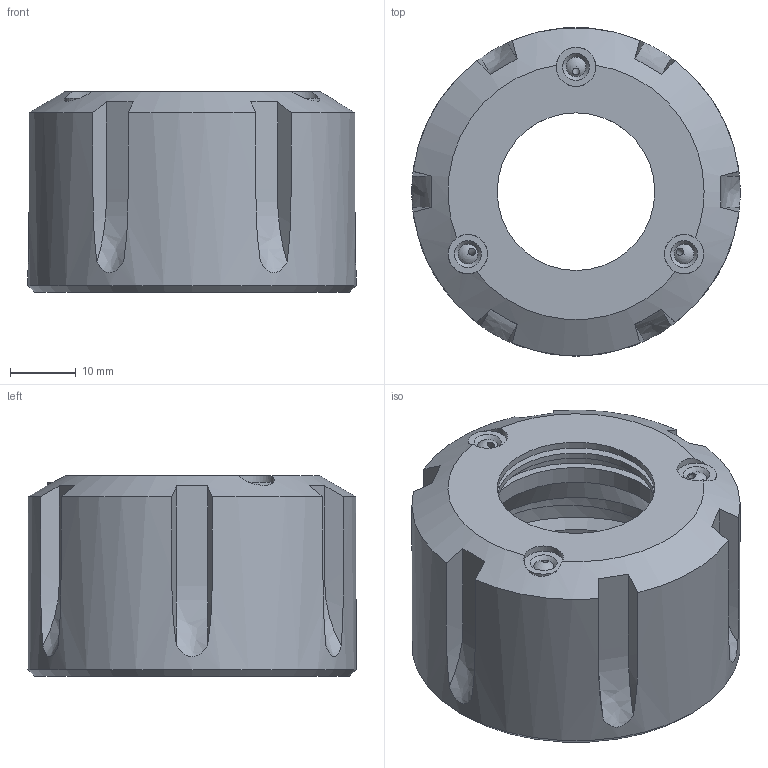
import cadquery as cq
import math

height = 30.5
outer_radius = 25.0
top_face_radius = 19.5
top_chamfer_angle = 30.0
bottom_chamfer = 1.0

bore_radius = 12.0
seal_groove_radius = 15.0
upper_groove_start = 1.05
upper_groove_end = 2.0
lower_groove_start = 2.95
lower_groove_end = 6.0
collet_radius = 13.8
collet_cone_start = 8.7
collet_cone_angle = 30.0
ring_radius = 16.6
relief_radius = 20.5
relief_end = 19.95
thread_radius = 19.2
thread_start = 21.4

undercut_depth = 15.0
undercut_angle = 60.0
undercut_offset = 1.47
undercut_direction = 135.0
undercut_top_radius = 14.4

slot_count = 6
slot_floor_radius = 22.0
slot_half_width = 2.36
slot_flare_angle = 15.0
slot_runout_radius = 20.0
slot_bottom_height = 3.0
slot_end_sag = 0.9
slot_tool_depth = 3.5
slot_flat_sag = 0.001
slot_sag_growth = 1.3
slot_overrun = 0.5
slot_straight_steps = 8
slot_runout_steps = 6

plug_angles = (90.0, 210.0, 330.0)
plug_circle_radius = 19.0
plug_radius = 3.0
plug_recess = 1.0
plug_thickness = 3.0
plug_mouth_radius = 2.05
plug_dome_radius = 1.5
plug_dome_depth = 0.6
nozzle_diameter = 1.1
nozzle_tilt = 20.0


def tan_deg(angle):
    return math.tan(math.radians(angle))


def ring_body():
    """Revolved nut with its chamfers and stepped bore, bottom face on Z = 0."""
    chamfer_drop = (outer_radius - top_face_radius) * tan_deg(top_chamfer_angle)
    cone_end = collet_cone_start + (ring_radius - collet_radius) / tan_deg(collet_cone_angle)
    relief_start = undercut_depth + (relief_radius - ring_radius) / tan_deg(undercut_angle)
    radius_and_depth = [
        (bore_radius, 0),
        (bore_radius, upper_groove_start),
        (seal_groove_radius, upper_groove_start),
        (seal_groove_radius, upper_groove_end),
        (bore_radius, upper_groove_end),
        (bore_radius, lower_groove_start),
        (seal_groove_radius, lower_groove_start),
        (seal_groove_radius, lower_groove_end),
        (collet_radius, lower_groove_end),
        (collet_radius, collet_cone_start),
        (ring_radius, cone_end),
        (ring_radius, relief_start),
        (relief_radius, relief_start),
        (relief_radius, relief_end),
        (thread_radius, thread_start),
        (thread_radius, height),
        (outer_radius - bottom_chamfer, height),
        (outer_radius, height - bottom_chamfer),
        (outer_radius, chamfer_drop),
        (top_face_radius, 0),
    ]
    outline = [(radius, height - depth) for radius, depth in radius_and_depth]
    return cq.Workplane("XZ").polyline(outline).close().revolve(360, (0, 0), (0, 1))


def eccentric_undercut():
    """Off-centre cone under the collet ring, kept inside the thread relief."""
    slope = tan_deg(undercut_angle)
    top_depth = undercut_depth - (ring_radius - undercut_top_radius) / slope
    bottom_depth = undercut_depth + (relief_radius - ring_radius) / slope
    direction = math.radians(undercut_direction)
    base_center = cq.Vector(
        undercut_offset * math.cos(direction),
        undercut_offset * math.sin(direction),
        height - bottom_depth,
    )
    cone = cq.Solid.makeCone(relief_radius, undercut_top_radius, bottom_depth - top_depth, base_center)
    limit = cq.Workplane().circle(relief_radius).extrude(height)
    return limit.intersect(cq.Workplane(cone))


def slot_section(travel, runout_start, runout_length):
    """Trapezoid across the slot, at a travel down its floor from the start of the runout.

    Above the start the floor is straight and practically flat. Along the runout it curves outwards and
    its edges rise above its centre by a growing sag.
    """
    angle = max(0, travel) / slot_runout_radius
    sag = max(slot_flat_sag, slot_end_sag * (max(0, travel) / runout_length) ** slot_sag_growth)
    floor_x = slot_floor_radius + slot_runout_radius * (1 - math.cos(angle))
    floor_z = runout_start - min(0, travel) - slot_runout_radius * math.sin(angle)
    plane = cq.Plane(
        origin=(floor_x, 0, floor_z),
        xDir=(0, -1, 0),
        normal=(-math.sin(angle), 0, math.cos(angle)),
    )
    half_top = slot_half_width + (slot_tool_depth - sag) * tan_deg(slot_flare_angle)
    return (
        cq.Workplane(plane)
        .moveTo(-slot_half_width, sag)
        .threePointArc((0, 0), (slot_half_width, sag))
        .lineTo(half_top, slot_tool_depth)
        .lineTo(-half_top, slot_tool_depth)
        .close()
        .val()
    )


def slot_cutter():
    """Flared slot on the +X side: straight from the top, then curving out through the wall."""
    depth = outer_radius - slot_floor_radius
    exit_angle = math.acos(1 - depth / slot_runout_radius)
    runout_start = slot_bottom_height + slot_runout_radius * math.sin(exit_angle)
    runout_length = slot_runout_radius * exit_angle + slot_overrun
    straight_length = height - runout_start
    sections = []
    for step in range(slot_straight_steps):
        travel = straight_length * (step / slot_straight_steps - 1)
        sections.append(slot_section(travel, runout_start, runout_length))
    for step in range(slot_runout_steps + 1):
        travel = runout_length * step / slot_runout_steps
        sections.append(slot_section(travel, runout_start, runout_length))
    return cq.Workplane(cq.Solid.makeLoft(sections))


def pocket_cutter():
    """Round pocket on the +X side, deeper than its plug by the recess of the plug."""
    depth = plug_recess + plug_thickness
    return cq.Workplane("XY", origin=(plug_circle_radius, 0, height)).circle(plug_radius).extrude(-depth)


def nozzle_plug():
    """Plug on the +X side: a conical mouth around a dome, drilled at a tilt towards the nut axis."""
    top = height - plug_recess
    dome_sphere_radius = (plug_dome_radius**2 + plug_dome_depth**2) / (2 * plug_dome_depth)
    plug = (
        cq.Workplane("XZ", origin=(plug_circle_radius, 0, top))
        .lineTo(0, -plug_thickness)
        .lineTo(plug_radius, -plug_thickness)
        .lineTo(plug_radius, 0)
        .lineTo(plug_mouth_radius, 0)
        .lineTo(plug_dome_radius, -plug_dome_depth)
        .radiusArc((0, 0), -dome_sphere_radius)
        .close()
        .revolve(360, (0, 0), (0, 1))
    )
    tilt = math.radians(nozzle_tilt)
    drill_axis = cq.Vector(-math.sin(tilt), 0, math.cos(tilt))
    dome_center = cq.Vector(plug_circle_radius, 0, top - dome_sphere_radius)
    drill_reach = 2 * plug_thickness
    nozzle = cq.Solid.makeCylinder(
        nozzle_diameter / 2, 2 * drill_reach, dome_center - drill_axis * drill_reach, drill_axis
    )
    return plug.cut(cq.Workplane(nozzle))


def around(shape, angle):
    """Copy of a shape turned about the nut axis."""
    return shape.rotate((0, 0, 0), (0, 0, 1), angle)


nut = ring_body().cut(eccentric_undercut())

slot = slot_cutter()
for index in range(slot_count):
    nut = nut.cut(around(slot, 360 / slot_count * index))

pocket = pocket_cutter()
plug = nozzle_plug()
plugs = []
for angle in plug_angles:
    nut = nut.cut(around(pocket, angle))
    plugs.append(around(plug, angle))

result = cq.Compound.makeCompound([nut.val(), *[plug_copy.val() for plug_copy in plugs]])